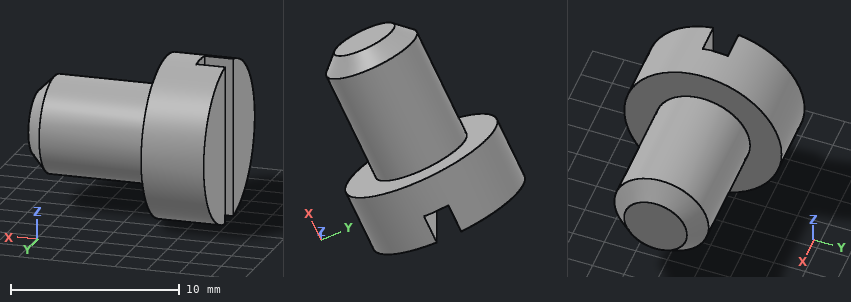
import cadquery as cq

total_length = 11.9
head_diameter = 10.0
head_length = 3.9
shank_diameter = 6.0
tip_chamfer = 1.0
slot_width = 1.6
slot_depth = 1.8


def make_head():
    return cq.Workplane("YZ").circle(head_diameter / 2).extrude(head_length)


def make_shank():
    shank = (
        cq.Workplane("YZ")
        .workplane(offset=head_length)
        .circle(shank_diameter / 2)
        .extrude(total_length - head_length)
    )
    return shank.faces(">X").chamfer(tip_chamfer)


def make_driver_slot():
    return cq.Workplane("XY").box(
        slot_depth, slot_width, head_diameter, centered=(False, True, True)
    )


result = make_head().union(make_shank()).cut(make_driver_slot())